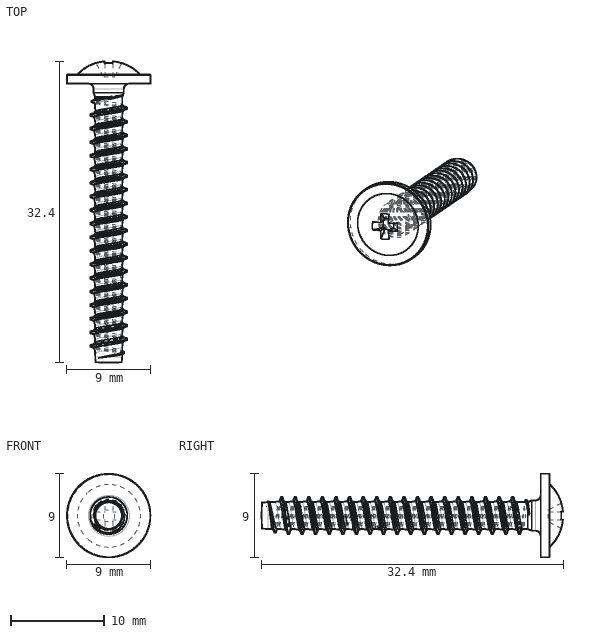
import cadquery as cq
import math


flange_radius = 4.5
flange_thickness = 1.0
flange_edge_bevel = 0.08
dome_height = 1.46
dome_foot_radius = 3.38

recess_depth = 1.7
wing_width = 0.87
wing_reach = 1.5
wing_floor_reach = 0.6

shank_length = 30.0
neck_radius = 1.64
neck_fillet = 0.56
neck_end = 0.95
core_start = 1.4
core_radius = 1.47
tip_radius = 1.41
tip_taper_length = 0.6
tip_cone_height = 0.06

pitch = 1.46
crest_radius = 2.0
crest_half_width = 0.05
foot_radius = 1.6
foot_half_width = 0.19
tip_side_shoulder_radius = 1.56
tip_side_shoulder_width = 0.25
tip_side_root_radius = 1.44
tip_side_root_width = 0.97
head_side_root_radius = 1.42
head_side_root_width = 0.45
floor_radius = 1.2
first_crest_y = -1.17
lead_in_turns = 0.25
turns = 19.5 + lead_in_turns
runout_turns = 1.0
runout_end_radius = 1.38
runout_end_width_share = 0.25
points_per_turn = 16


def make_body():
    """Revolved body: tip, core, neck, flange and domed top."""
    dome_base_y = flange_thickness
    dome_top_y = flange_thickness + dome_height
    sphere_radius = (dome_foot_radius**2 + dome_height**2) / (2 * dome_height)
    half_angle = math.asin(dome_foot_radius / sphere_radius) / 2
    dome_mid = (
        sphere_radius * math.sin(half_angle),
        dome_top_y - sphere_radius * (1 - math.cos(half_angle)),
    )
    diagonal = neck_fillet * (1 - math.sqrt(0.5))
    tip_rim_y = -shank_length + tip_cone_height
    outline = (
        cq.Workplane("XY")
        .moveTo(0, -shank_length)
        .lineTo(tip_radius, tip_rim_y)
        .lineTo(core_radius, tip_rim_y + tip_taper_length)
        .lineTo(core_radius, -core_start)
        .lineTo(neck_radius, -neck_end)
        .lineTo(neck_radius, -neck_fillet)
        .threePointArc((neck_radius + diagonal, -diagonal), (neck_radius + neck_fillet, 0))
        .lineTo(flange_radius, 0)
        .lineTo(flange_radius, dome_base_y - flange_edge_bevel)
        .lineTo(flange_radius - flange_edge_bevel, dome_base_y)
        .lineTo(dome_foot_radius, dome_base_y)
        .threePointArc(dome_mid, (0, dome_top_y))
        .close()
    )
    return outline.revolve(360, (0, 0, 0), (0, 1, 0))


def make_recess():
    """Cross of two slots whose ends slope inwards to the recess floor."""
    top_y = flange_thickness + dome_height
    floor_y = top_y - recess_depth
    wing = (
        cq.Workplane("XY")
        .polyline(
            [
                (-wing_reach, top_y),
                (wing_reach, top_y),
                (wing_floor_reach, floor_y),
                (-wing_floor_reach, floor_y),
            ]
        )
        .close()
        .extrude(wing_width / 2, both=True)
    )
    return wing.union(wing.rotate((0, 0, 0), (0, 1, 0), 90))


def thread_growth(turn):
    """Share of the full thread section, from 0 to 1, growing and fading over the run-outs."""
    return min(1, turn / runout_turns, (turns - turn) / runout_turns)


def thread_line(full_radius, full_offset):
    """Helical curve of one profile corner; it sinks into the core and narrows at both ends."""
    end_radius = min(full_radius, runout_end_radius)
    end_offset = full_offset * runout_end_width_share
    points = []
    for step in range(round(turns * points_per_turn) + 1):
        turn = step / points_per_turn
        growth = thread_growth(turn)
        radius = end_radius + (full_radius - end_radius) * growth
        offset = end_offset + (full_offset - end_offset) * growth
        turn_from_first_crest = turn - lead_in_turns
        angle = 2 * math.pi * turn_from_first_crest
        x = radius * math.cos(angle)
        y = first_crest_y - pitch * turn_from_first_crest + offset
        z = radius * math.sin(angle)
        points.append(cq.Vector(x, y, z))
    return cq.Edge.makeSpline(points)


def make_thread():
    """Solid ridge bounded by ruled faces between neighbouring corner curves."""
    profile = [
        (floor_radius, head_side_root_width),
        (head_side_root_radius, head_side_root_width),
        (foot_radius, foot_half_width),
        (crest_radius, crest_half_width),
        (crest_radius, -crest_half_width),
        (foot_radius, -foot_half_width),
        (tip_side_shoulder_radius, -tip_side_shoulder_width),
        (tip_side_root_radius, -tip_side_root_width),
        (floor_radius, -tip_side_root_width),
    ]
    lines = [thread_line(radius, offset) for radius, offset in profile]
    faces = []
    for line, neighbour in zip(lines, lines[1:] + lines[:1]):
        faces.append(cq.Face.makeRuledSurface(line, neighbour))
    for position in (0, 1):
        corners = [line.positionAt(position) for line in lines]
        faces.append(cq.Face.makeFromWires(cq.Wire.makePolygon(corners, close=True)))
    shell = cq.Shell.makeShell(faces)
    return cq.Workplane(obj=cq.Solid.makeSolid(shell))


result = make_body().union(make_thread()).cut(make_recess())